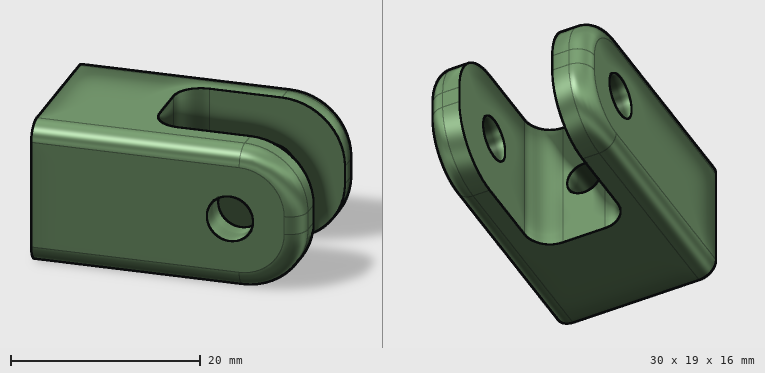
import cadquery as cq

length = 30.0
width = 19.0
height = 16.0

nose_radius = 7.0
edge_radius = 2.0

slot_width = 11.0
slot_floor_x = 12.0
slot_corner_radius = 3.0

pin_hole_diameter = 5.1
pin_hole_x = 22.0
shank_hole_diameter = 4.0


def rounded_body():
    """Block from X = 0 with a rounded nose and rounded outer side edges."""
    block = cq.Workplane("XY").box(length, width, height, centered=(False, True, True))
    block = block.edges("|Y and >X").fillet(nose_radius)
    return block.faces("<Y or >Y").edges("not <X").fillet(edge_radius)


def fork_slot():
    """Cutter for the gap between the arms, with rounded inner corners."""
    slot_length = length - slot_floor_x
    return (
        cq.Workplane("XY")
        .box(slot_length, slot_width, height, centered=(False, True, True))
        .edges("|Z and <X")
        .fillet(slot_corner_radius)
        .translate((slot_floor_x, 0, 0))
    )


def pin_hole():
    """Cutter for the cross hole through both arms."""
    return (
        cq.Workplane("XZ")
        .center(pin_hole_x, 0)
        .circle(pin_hole_diameter / 2)
        .extrude(width / 2, both=True)
    )


def shank_hole():
    """Cutter for the lengthwise hole from the rear end into the slot."""
    return cq.Workplane("YZ").circle(shank_hole_diameter / 2).extrude(length)


result = rounded_body().cut(fork_slot()).cut(pin_hole()).cut(shank_hole())